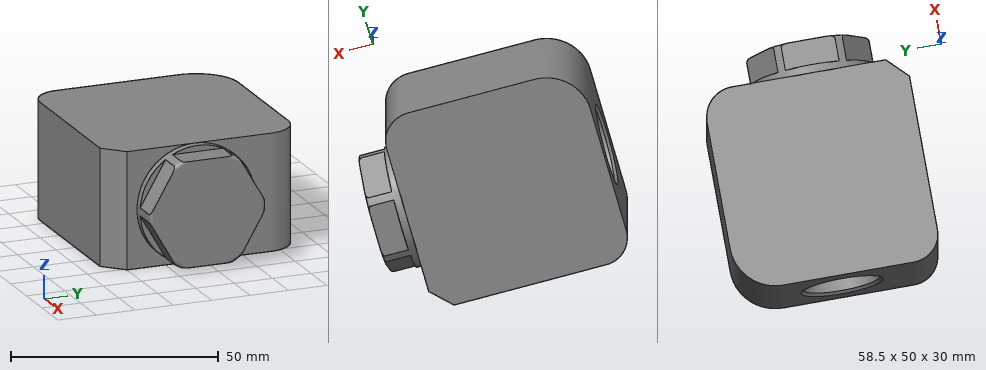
import cadquery as cq
import math

overall_length = 58.5
block_side = 50.0
block_height = 30.0
rear_left_radius = 11.0
rear_right_radius = 7.5
front_left_radius = 7.0
front_right_chamfer = 5.0

bore_y = 24.55
bore_diameter = 18.6
bore_mouth_diameter = 20.0
bore_depth = 23.4

plug_y = 22.6
plug_diameter = 30.0
collar_length = 2.0
hex_across_flats = 26.95
plug_rim_radius = 0.8


def make_block():
    block = cq.Workplane("XY").rect(block_side, block_side).extrude(block_height / 2, both=True)
    block = block.translate((block_side / 2, block_side / 2, 0))
    block = block.edges("|Z and <X and >Y").fillet(rear_left_radius)
    block = block.edges("|Z and >X and >Y").fillet(rear_right_radius)
    block = block.edges("|Z and <X and <Y").fillet(front_left_radius)
    return block.edges("|Z and >X and <Y").chamfer(front_right_chamfer)


def make_bore():
    mouth_chamfer = (bore_mouth_diameter - bore_diameter) / 2
    profile = [
        (0, 0),
        (0, bore_mouth_diameter / 2),
        (mouth_chamfer, bore_diameter / 2),
        (bore_depth, bore_diameter / 2),
        (bore_depth, 0),
    ]
    bore = cq.Workplane("XY").polyline(profile).close().revolve(360, (0, 0), (1, 0))
    return bore.translate((0, bore_y, 0))


def make_plug():
    plug_length = overall_length - block_side
    hex_across_corners = hex_across_flats / math.cos(math.radians(30))
    axis_start = (block_side, plug_y, 0)
    face = cq.Workplane("YZ", origin=axis_start)
    collar = face.circle(plug_diameter / 2).extrude(collar_length)
    envelope = face.circle(plug_diameter / 2).extrude(plug_length)
    envelope = envelope.faces(">X").edges().fillet(plug_rim_radius)
    hexagon = face.polygon(6, hex_across_corners).extrude(plug_length)
    return collar.union(hexagon.intersect(envelope))


result = make_block().cut(make_bore()).union(make_plug())